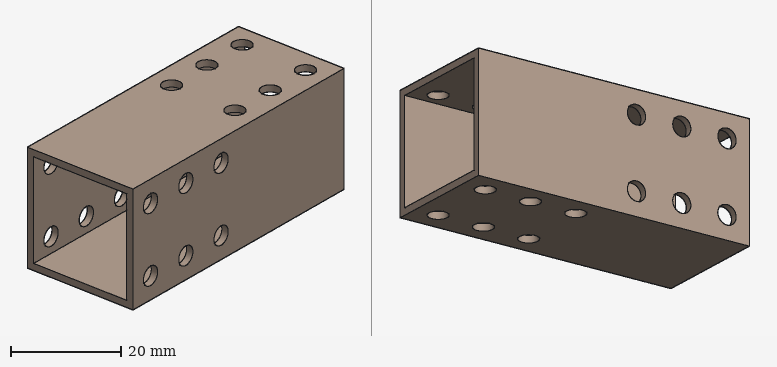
import cadquery as cq

length = 60.0
width = 25.0
wall = 1.5

hole_diameter = 4.0
row_spacing = 15.0
hole_pitch = 10.0
end_distance = 5.0
holes_per_row = 3

pattern_offset = length / 2 - end_distance - hole_pitch * (holes_per_row - 1) / 2


def square_tube():
    bore_width = width - 2 * wall
    profile = cq.Workplane("XZ").rect(width, width).rect(bore_width, bore_width)
    return profile.extrude(length / 2, both=True)


def vertical_holes():
    """Cutters along Z, grouped near the +Y end."""
    return (
        cq.Workplane("XY")
        .center(0, pattern_offset)
        .rarray(row_spacing, hole_pitch, 2, holes_per_row)
        .circle(hole_diameter / 2)
        .extrude(width, both=True)
    )


def horizontal_holes():
    """Cutters along X, grouped near the -Y end."""
    return (
        cq.Workplane("YZ")
        .center(-pattern_offset, 0)
        .rarray(hole_pitch, row_spacing, holes_per_row, 2)
        .circle(hole_diameter / 2)
        .extrude(width, both=True)
    )


result = square_tube().cut(vertical_holes()).cut(horizontal_holes())